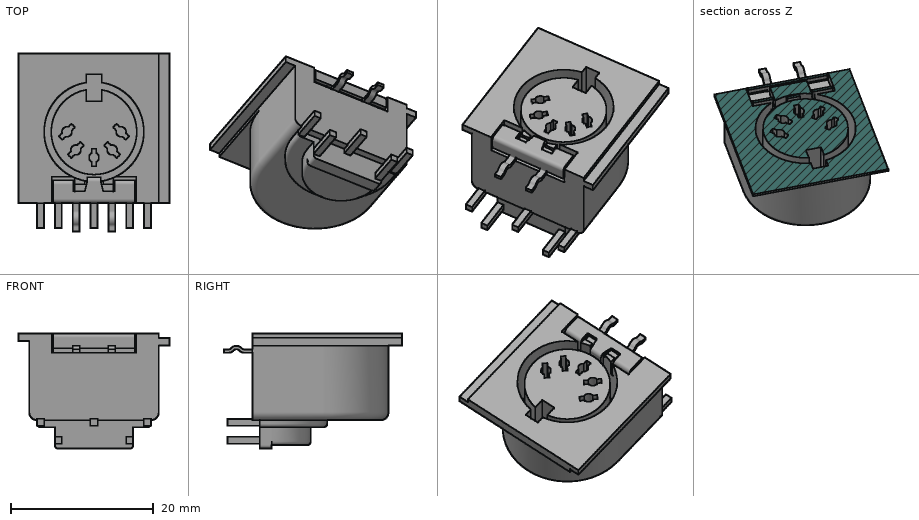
import cadquery as cq
import math


FRONT_Y = -10.0
PLATE_BACK_Y = 11.0
PLATE_WIDTH = 21.2
TAB_THICK = 1.1
TAB_STEP = 0.65
PLATE_THICK = TAB_STEP + TAB_THICK

BODY_RADIUS = 9.1
BODY_DEPTH = 12.2
BODY_FILLET = 1.1
STEP_FRONT_Y = -9.0
STEP_FILLET = 0.5
UPPER_STEP_RADIUS = 8.0
UPPER_STEP_CENTER_Y = -7.5
UPPER_STEP_BOTTOM = -13.2
LOWER_STEP_RADIUS = 5.5
LOWER_STEP_CENTER_Y = -7.3
LOWER_STEP_BOTTOM = -15.7
FOOT_BOTTOM = -16.2

SOCKET_RADIUS = 7.0
SOCKET_DEPTH = 9.0
ISLAND_RADIUS = 6.0
ISLAND_TOP = -0.6
KEYWAY_WIDTH = 2.15
KEYWAY_INNER_Y = 4.3
KEYWAY_OUTER_Y = 8.07
CONTACT_RADIUS = 0.7
CONTACT_SLOT_LENGTH = 2.5
CONTACT_SLOT_WIDTH = 0.7
CONTACT_SIDE_X = 3.8
CONTACT_RING = 3.6
CONTACT_SLANT = 45.0

PIN_SIZE = 1.0
PIN_PITCH = 2.5
PIN_END_Y = -13.5
UPPER_PIN_Z = -12.5
LOWER_PIN_Z = UPPER_PIN_Z - PIN_PITCH

CLIP_THICK = 0.5
CLIP_WIDTH = 11.5
CLIP_BEND_INNER = 0.1
FRONT_LEG_BOTTOM = -2.1
WING_BACK_Y = -6.8
NOTCH_FRONT_Y = -8.35
NOTCH_HALF_WIDTH = 2.89
TONGUE_BACK_Y = -6.4
TONGUE_BOTTOM = -3.0
TONGUE_TIP_HALF_WIDTH = 0.96
TONGUE_ROOT_HALF_WIDTH = 1.3
CLIP_BEND_OUTER = CLIP_BEND_INNER + CLIP_THICK

TAIL_WIDTH = 1.0
TAIL_X = 2.5
TAIL_END_Y = -14.0
TAIL_BEND_INNER = 0.15
TAIL_BEND_OUTER = TAIL_BEND_INNER + CLIP_THICK
TAIL_TOP = FRONT_LEG_BOTTOM - TAIL_BEND_INNER
TAIL_BOTTOM = TAIL_TOP - CLIP_THICK
HUMP_Y = -12.25
HUMP_HEIGHT = 0.5
HUMP_INNER = 0.5
HUMP_OUTER = HUMP_INNER + CLIP_THICK

RECESS_CLEARANCE = 0.2
RECESS_BACK_Y = -6.3
RECESS_BOTTOM = TAIL_BOTTOM
WING_BOTTOM = RECESS_BOTTOM
SEAT_HALF_WIDTH = 2.7
SEAT_FRONT_Y = -9.3
SEAT_TOP = -0.55
LEDGE_TOP = -0.1
LEDGE_FRONT_Y = -7.35


def block(x_range, y_range, z_range):
    """Box given by its limits along each axis."""
    size = [high - low for low, high in (x_range, y_range, z_range)]
    corner = (x_range[0], y_range[0], z_range[0])
    return cq.Workplane("XY").box(*size, centered=False).translate(corner)


def round_backed(radius, center_y, front_y, top, bottom, fillet):
    """Straight-sided block with a half-round back and a filleted rim on its underside."""
    body = (
        cq.Workplane("XY", origin=(0, 0, bottom))
        .moveTo(-radius, front_y)
        .lineTo(radius, front_y)
        .lineTo(radius, center_y)
        .threePointArc((0, center_y + radius), (-radius, center_y))
        .close()
        .extrude(top - bottom)
    )
    rim = body.faces("<Z").edges(cq.selectors.BoxSelector(
        (-2 * radius, front_y + fillet / 2, bottom - fillet),
        (2 * radius, center_y + 2 * radius, bottom + fillet),
    ))
    return rim.fillet(fillet)



def mounting_plate():
    half = PLATE_WIDTH / 2
    y_range = (FRONT_Y, PLATE_BACK_Y)
    plate = block((-BODY_RADIUS, BODY_RADIUS), y_range, (-PLATE_THICK, 0))
    left_tab = block((-half, 0), y_range, (-TAB_THICK, 0))
    right_tab = block((0, half), y_range, (-PLATE_THICK, -TAB_STEP))
    return plate.union(left_tab).union(right_tab)


def stepped_base():
    upper = round_backed(
        UPPER_STEP_RADIUS, UPPER_STEP_CENTER_Y, STEP_FRONT_Y,
        -BODY_DEPTH, UPPER_STEP_BOTTOM, STEP_FILLET,
    )
    lower = round_backed(
        LOWER_STEP_RADIUS, LOWER_STEP_CENTER_Y, STEP_FRONT_Y,
        UPPER_STEP_BOTTOM, LOWER_STEP_BOTTOM, STEP_FILLET,
    )
    foot = block(
        (-LOWER_STEP_RADIUS, LOWER_STEP_RADIUS),
        (STEP_FRONT_Y, LOWER_STEP_CENTER_Y),
        (FOOT_BOTTOM, UPPER_STEP_BOTTOM),
    )
    foot = foot.faces("<Z").edges("|Y").fillet(STEP_FILLET)
    return upper.union(lower).union(foot)


def keyway():
    return block(
        (-KEYWAY_WIDTH / 2, KEYWAY_WIDTH / 2), (KEYWAY_INNER_Y, KEYWAY_OUTER_Y), (-SOCKET_DEPTH, 0)
    )


def socket_island():
    """Round insulator left standing inside the socket."""
    island = (
        cq.Workplane("XY", origin=(0, 0, -SOCKET_DEPTH))
        .circle(ISLAND_RADIUS)
        .extrude(SOCKET_DEPTH + ISLAND_TOP)
    )
    return island.cut(keyway())


def contact_hole(x, y, angle):
    """Round contact hole crossed by a flat slot whose length is turned by the given angle."""
    floor = cq.Workplane("XY", origin=(0, 0, -SOCKET_DEPTH))
    bore = floor.circle(CONTACT_RADIUS).extrude(SOCKET_DEPTH)
    slot = floor.rect(CONTACT_SLOT_WIDTH, CONTACT_SLOT_LENGTH).extrude(SOCKET_DEPTH)
    return bore.union(slot).rotate((0, 0, 0), (0, 0, 1), angle).translate((x, y, 0))


def contact_holes():
    diagonal = CONTACT_RING * math.sqrt(0.5)
    holes = contact_hole(0, -CONTACT_RING, 0)
    for side in (-1, 1):
        slant = side * CONTACT_SLANT
        holes = holes.union(contact_hole(side * diagonal, -diagonal, slant))
        holes = holes.union(contact_hole(side * CONTACT_SIDE_X, 0, slant))
    return holes


def clip_recess():
    """Open pocket for the clip, less the seat and the two ledges that stand in it."""
    half = CLIP_WIDTH / 2 + RECESS_CLEARANCE
    recess = block((-half, half), (FRONT_Y, RECESS_BACK_Y), (RECESS_BOTTOM, 0))
    seat = block(
        (-SEAT_HALF_WIDTH, SEAT_HALF_WIDTH), (SEAT_FRONT_Y, RECESS_BACK_Y), (RECESS_BOTTOM, SEAT_TOP)
    )
    recess = recess.cut(seat)
    for low, high in (
        (-SEAT_HALF_WIDTH, -TONGUE_ROOT_HALF_WIDTH),
        (TONGUE_ROOT_HALF_WIDTH, SEAT_HALF_WIDTH),
    ):
        ledge = block((low, high), (LEDGE_FRONT_Y, RECESS_BACK_Y), (SEAT_TOP, LEDGE_TOP))
        recess = recess.cut(ledge)
    return recess


def make_housing():
    body = round_backed(BODY_RADIUS, 0, FRONT_Y, 0, -BODY_DEPTH, BODY_FILLET)
    housing = mounting_plate().union(body).union(stepped_base())
    socket = cq.Workplane("XY").circle(SOCKET_RADIUS).extrude(-SOCKET_DEPTH)
    housing = housing.cut(clip_recess()).cut(socket).cut(keyway())
    return housing.union(socket_island()).cut(contact_holes())



def bent_channel(back_y, back_leg_bottom):
    """Sheet channel with rounded bends: a flat top, a front leg and a back leg."""
    half = CLIP_WIDTH / 2
    inner_front_y = FRONT_Y + CLIP_THICK
    outer = block((-half, half), (FRONT_Y, back_y), (back_leg_bottom, 0))
    outer = outer.faces(">Z").edges("|X").fillet(CLIP_BEND_OUTER)
    inner = block(
        (-half, half), (inner_front_y, back_y - CLIP_THICK), (back_leg_bottom, -CLIP_THICK)
    )
    inner = inner.faces(">Z").edges("|X").fillet(CLIP_BEND_INNER)
    below_front_leg = block((-half, half), (FRONT_Y, inner_front_y), (back_leg_bottom, FRONT_LEG_BOTTOM))
    return outer.cut(inner).cut(below_front_leg)


def clip_tongue():
    """Tapered middle finger that bends down into the socket ring."""
    taper_end_y = TONGUE_BACK_Y - CLIP_BEND_OUTER
    outline = (
        cq.Workplane("XY", origin=(0, 0, TONGUE_BOTTOM))
        .polyline([
            (-TONGUE_ROOT_HALF_WIDTH, NOTCH_FRONT_Y),
            (TONGUE_ROOT_HALF_WIDTH, NOTCH_FRONT_Y),
            (TONGUE_TIP_HALF_WIDTH, taper_end_y),
            (TONGUE_TIP_HALF_WIDTH, TONGUE_BACK_Y),
            (-TONGUE_TIP_HALF_WIDTH, TONGUE_BACK_Y),
            (-TONGUE_TIP_HALF_WIDTH, taper_end_y),
        ])
        .close()
        .extrude(-TONGUE_BOTTOM)
    )
    return bent_channel(TONGUE_BACK_Y, TONGUE_BOTTOM).intersect(outline)


def clip_tail(center_x):
    """Lead that curves out of the front leg, runs toward -Y and carries one hump."""
    bend_y = FRONT_Y - TAIL_BEND_INNER
    diagonal = math.sqrt(0.5)
    arc_sum = HUMP_INNER + HUMP_OUTER
    turn = math.acos(1 - HUMP_HEIGHT / arc_sum)
    half_span = arc_sum * math.sin(turn)

    def arc_point(center, radius, angle):
        return (center[0] + radius * math.sin(angle), center[1] + radius * math.cos(angle))

    crest = (HUMP_Y, TAIL_TOP + HUMP_HEIGHT - HUMP_OUTER)
    near = (HUMP_Y + half_span, TAIL_TOP + HUMP_INNER)
    far = (HUMP_Y - half_span, TAIL_TOP + HUMP_INNER)

    def hump_side(wire, foot_center, toward, foot_radius, crest_radius, rising):
        """Two tangent arcs between the flat and the top of the hump."""
        foot = arc_point(foot_center, foot_radius, math.pi)
        foot_mid = arc_point(foot_center, foot_radius, math.pi + toward * turn / 2)
        joint = arc_point(crest, crest_radius, toward * turn)
        crest_mid = arc_point(crest, crest_radius, toward * turn / 2)
        top = arc_point(crest, crest_radius, 0)
        if rising:
            return wire.lineTo(*foot).threePointArc(foot_mid, joint).threePointArc(crest_mid, top)
        return wire.threePointArc(crest_mid, joint).threePointArc(foot_mid, foot)

    profile = (
        cq.Workplane("YZ", origin=(center_x - TAIL_WIDTH / 2, 0, 0))
        .moveTo(FRONT_Y, FRONT_LEG_BOTTOM)
        .threePointArc(
            (bend_y + TAIL_BEND_INNER * diagonal, FRONT_LEG_BOTTOM - TAIL_BEND_INNER * diagonal),
            (bend_y, TAIL_TOP),
        )
    )
    profile = hump_side(profile, near, 1, HUMP_INNER, HUMP_OUTER, True)
    profile = hump_side(profile, far, -1, HUMP_INNER, HUMP_OUTER, False)
    profile = profile.lineTo(TAIL_END_Y, TAIL_TOP).lineTo(TAIL_END_Y, TAIL_BOTTOM)
    profile = hump_side(profile, far, -1, HUMP_OUTER, HUMP_INNER, True)
    profile = hump_side(profile, near, 1, HUMP_OUTER, HUMP_INNER, False)
    profile = (
        profile.lineTo(bend_y, TAIL_BOTTOM)
        .threePointArc(
            (bend_y + TAIL_BEND_OUTER * diagonal, FRONT_LEG_BOTTOM - TAIL_BEND_OUTER * diagonal),
            (FRONT_Y + CLIP_THICK, FRONT_LEG_BOTTOM),
        )
        .close()
    )
    return profile.extrude(TAIL_WIDTH)


def make_clip():
    notch = block(
        (-NOTCH_HALF_WIDTH, NOTCH_HALF_WIDTH), (NOTCH_FRONT_Y, WING_BACK_Y), (WING_BOTTOM, 0)
    )
    clip = bent_channel(WING_BACK_Y, WING_BOTTOM).cut(notch).union(clip_tongue())
    for side in (-1, 1):
        clip = clip.union(clip_tail(side * TAIL_X))
    return clip



def make_pin(x, z):
    """Square pin running from the front face of the stepped base toward -Y."""
    half = PIN_SIZE / 2
    return block((x - half, x + half), (PIN_END_Y, STEP_FRONT_Y), (z - half, z + half))


pin_places = [(step * PIN_PITCH, UPPER_PIN_Z) for step in (-3, 0, 3)]
pin_places += [(step * PIN_PITCH, LOWER_PIN_Z) for step in (-2, 2)]
pins = [make_pin(x, z) for x, z in pin_places]

housing = make_housing()
for pin in pins:
    housing = housing.cut(pin)

clip = make_clip()

result = cq.Compound.makeCompound([
    housing.solids().val(),
    clip.solids().val(),
    *[pin.val() for pin in pins],
])